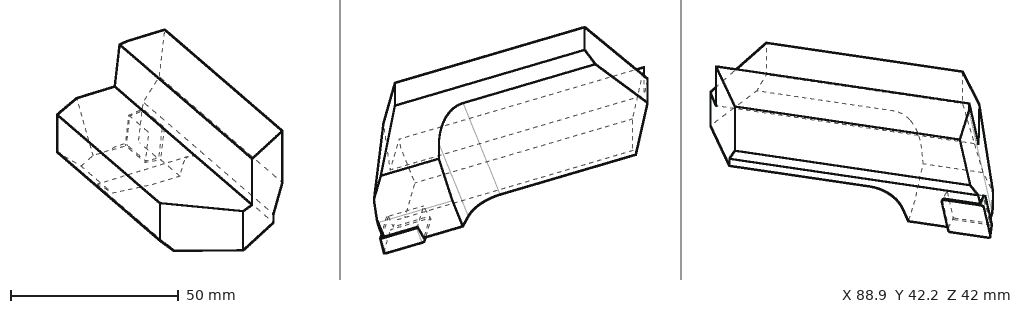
import cadquery as cq
import math

LENGTH = 88.9
DEPTH = 42.2
HEIGHT = 42.0

STEP_Y = 26.2
STEP_Z = 26.0
FRONT_TOP_Z = 29.7
FRONT_LOW_Z = 16.7
UNDERSIDE_Y = 13.8
UNDERSIDE_Z = 2.9
BOTTOM_Y = 28.0
BOTTOM_Z = 1.2
RELIEF_Y = 37.5
RELIEF_LOW_Z = 16.0
RELIEF_TOP_Z = 24.1

RIGHT_TIP_Y = 21.5
RIGHT_ANGLE = 30.0
LEFT_TOP_X = 8.4
LEAN_ANGLE = 10.0
TURN_Y = 29.3
TURN_ANGLE = 10.0
CORNER_X = 16.7
CORNER_ANGLE = 33.7
BEVEL = 0.5

FOOT_X = 25.15
FOOT_ANGLE = 20.0
SHANK_Z = 13.1
FOOT_RADIUS = 10.7

INSERT_FACE_Y = 38.2
INSERT_THICKNESS = 5.0
INSERT_HEIGHT = 12.7
INSERT_ANGLE = 80.0
INSERT_NOSE_RADIUS = 0.8
INSERT_CLEARANCE = 7.0

MARGIN = 8.9


def tan_deg(angle):
    return math.tan(math.radians(angle))


def left_face_x(z):
    """X of the leaning left face at height z."""
    return LEFT_TOP_X - (HEIGHT - z) * tan_deg(LEAN_ANGLE)


def make_section_bar():
    return (
        cq.Workplane("YZ")
        .polyline([
            (0, FRONT_LOW_Z),
            (UNDERSIDE_Y, UNDERSIDE_Z),
            (BOTTOM_Y, BOTTOM_Z),
            (RELIEF_Y, BOTTOM_Z),
            (RELIEF_Y, RELIEF_LOW_Z),
            (DEPTH, RELIEF_TOP_Z),
            (DEPTH, HEIGHT),
            (STEP_Y, HEIGHT),
            (STEP_Y, STEP_Z),
            (0, FRONT_TOP_Z),
        ])
        .close()
        .extrude(LENGTH)
    )


def make_plan_envelope():
    """Vertical prism with the pointed right end and the corner facet."""
    slope = tan_deg(RIGHT_ANGLE)
    facet_y = CORNER_X / tan_deg(CORNER_ANGLE)
    return (
        cq.Workplane("XY")
        .polyline([
            (CORNER_X, 0),
            (LENGTH - RIGHT_TIP_Y * slope, 0),
            (LENGTH, RIGHT_TIP_Y),
            (LENGTH - (DEPTH - RIGHT_TIP_Y) * slope, DEPTH),
            (0, DEPTH),
            (0, facet_y),
        ])
        .close()
        .extrude(HEIGHT)
    )


def make_left_envelope(turn_angle):
    """Prism behind a leaning left face, swept along Y or turned away from it."""
    sweep = DEPTH + MARGIN
    shift = tan_deg(turn_angle) * sweep
    outline = [
        (left_face_x(0), 0),
        (LENGTH + MARGIN, 0),
        (LENGTH + MARGIN, HEIGHT),
        (LEFT_TOP_X, HEIGHT),
    ]
    points = [cq.Vector(x, TURN_Y, z) for x, z in outline]
    face = cq.Face.makeFromWires(cq.Wire.makePolygon(points, close=True))
    forward = cq.Solid.extrudeLinear(face, cq.Vector(shift, -sweep, 0))
    backward = cq.Solid.extrudeLinear(face, cq.Vector(-shift, sweep, 0))
    return cq.Workplane(obj=forward.fuse(backward).clean())


def make_lower_bevel():
    """Wedge along Y removing the sharp edge between left face and flat bottom."""
    return (
        cq.Workplane("XZ")
        .polyline([
            (left_face_x(BOTTOM_Z), BOTTOM_Z),
            (left_face_x(BOTTOM_Z) + BEVEL, BOTTOM_Z),
            (left_face_x(BOTTOM_Z + BEVEL), BOTTOM_Z + BEVEL),
        ])
        .close()
        .extrude(-DEPTH)
    )


def make_foot_clearance():
    foot_top_x = FOOT_X + (SHANK_Z - BOTTOM_Z) * tan_deg(FOOT_ANGLE)
    foot_low_x = FOOT_X - BOTTOM_Z * tan_deg(FOOT_ANGLE)
    clearance = (
        cq.Workplane("XZ")
        .polyline([
            (foot_low_x, 0),
            (foot_top_x, SHANK_Z),
            (LENGTH + MARGIN, SHANK_Z),
            (LENGTH + MARGIN, 0),
        ])
        .close()
        .extrude(-DEPTH)
    )
    inner_corner = cq.selectors.NearestToPointSelector((foot_top_x, DEPTH / 2, SHANK_Z))
    return clearance.edges(inner_corner).fillet(FOOT_RADIUS)


def make_insert():
    side = INSERT_HEIGHT / math.sin(math.radians(INSERT_ANGLE))
    lean = INSERT_HEIGHT / tan_deg(INSERT_ANGLE)
    half_angle = INSERT_ANGLE / 2
    nose_setback = INSERT_NOSE_RADIUS * (1 / tan_deg(half_angle) - 1)
    start_x = -nose_setback
    outline = (
        cq.Sketch()
        .polygon([
            (start_x, 0),
            (start_x + side, 0),
            (start_x + side + lean, INSERT_HEIGHT),
            (start_x + lean, INSERT_HEIGHT),
            (start_x, 0),
        ])
        .vertices()
        .fillet(INSERT_NOSE_RADIUS)
    )
    return (
        cq.Workplane("XZ", origin=(0, INSERT_FACE_Y, 0))
        .placeSketch(outline)
        .extrude(INSERT_THICKNESS, taper=INSERT_CLEARANCE)
    )


def make_holder(pocket_shape):
    return (
        make_section_bar()
        .intersect(make_plan_envelope())
        .intersect(make_left_envelope(0))
        .intersect(make_left_envelope(TURN_ANGLE))
        .cut(make_lower_bevel())
        .cut(make_foot_clearance())
        .cut(pocket_shape)
    )


insert = make_insert()
holder = make_holder(insert)

result = cq.Compound.makeCompound([holder.val(), insert.val()])